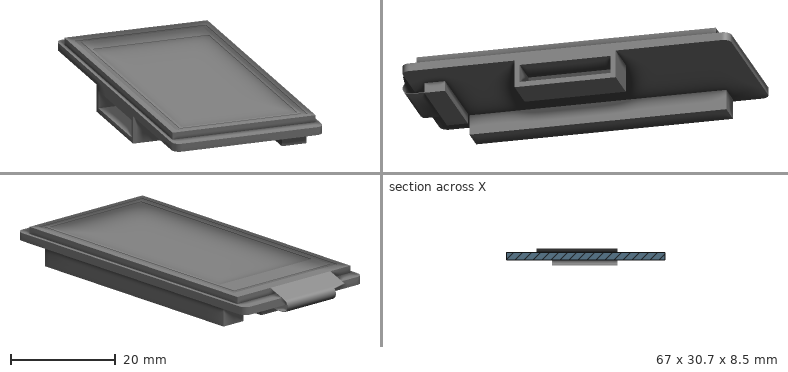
import cadquery as cq
import math

BOARD_LENGTH = 65.0
BOARD_WIDTH = 30.7
BOARD_THICKNESS = 1.6
BOARD_CORNER_RADIUS = 1.6

DISPLAY_LENGTH = 59.2
DISPLAY_WIDTH = 29.2
DISPLAY_THICKNESS = 1.4
LAYER_STEP = 0.1

WINDOW_MARGIN = 1.2
WINDOW_LEFT_MARGIN = 2.4
FILM_MARGIN = 2.2
FILM_RIGHT_MARGIN = 2.0
FILM_LEFT_MARGIN = 3.4
ACTIVE_LENGTH = 48.55
ACTIVE_WIDTH = 23.7
ACTIVE_RIGHT_MARGIN = 2.6

HEADER_PITCH = 2.54
HEADER_PINS = 20
HEADER_LENGTH = HEADER_PINS * HEADER_PITCH
HEADER_WIDTH = 2 * HEADER_PITCH
HEADER_HEIGHT = 4.0
HEADER_EDGE_GAP = 1.0

SOCKET_LENGTH = 20.0
SOCKET_DEPTH = 7.6
SOCKET_HEIGHT = 5.5
SOCKET_WALL = 1.0

FLEX_CONNECTOR_LENGTH = 4.1
FLEX_CONNECTOR_WIDTH = 17.1
FLEX_CONNECTOR_HEIGHT = 2.0

FLEX_OVERHANG = 2.0
FLEX_THICKNESS = 0.1
FLEX_BEND_RADIUS = 1.3
FLEX_BOTTOM_Z = -FLEX_CONNECTOR_HEIGHT / 2
FLEX_WIDE_WIDTH = 15.5
FLEX_NARROW_WIDTH = 12.5
FLEX_TAPER_RUN = 0.4
FLEX_CENTRE_Y = -0.15

BOARD_LEFT = -BOARD_LENGTH / 2
DISPLAY_LEFT = -DISPLAY_LENGTH / 2
DISPLAY_RIGHT = DISPLAY_LENGTH / 2
DISPLAY_TOP = BOARD_THICKNESS + DISPLAY_THICKNESS


def block(x_min, x_max, y_min, y_max, z_min, z_max):
    """Axis-aligned block between the given limits."""
    size = (x_max - x_min, y_max - y_min, z_max - z_min)
    return cq.Workplane("XY").box(*size, centered=False).translate((x_min, y_min, z_min))


def make_board():
    board = cq.Workplane("XY").box(BOARD_LENGTH, BOARD_WIDTH, BOARD_THICKNESS, centered=(True, True, False))
    return board.edges("|Z").fillet(BOARD_CORNER_RADIUS)


def display_layer(x_min, x_max, width, z_min):
    """Block one step high, centred on Y, in the face of the display."""
    return block(x_min, x_max, -width / 2, width / 2, z_min, z_min + LAYER_STEP)


def make_display():
    """Glass with a recessed window, a raised film inside it and a recessed active area."""
    glass = block(
        DISPLAY_LEFT, DISPLAY_RIGHT,
        -DISPLAY_WIDTH / 2, DISPLAY_WIDTH / 2,
        BOARD_THICKNESS, DISPLAY_TOP,
    )
    step_z = DISPLAY_TOP - LAYER_STEP
    window = display_layer(
        DISPLAY_LEFT + WINDOW_LEFT_MARGIN, DISPLAY_RIGHT - WINDOW_MARGIN,
        DISPLAY_WIDTH - 2 * WINDOW_MARGIN, step_z,
    )
    film = display_layer(
        DISPLAY_LEFT + FILM_LEFT_MARGIN, DISPLAY_RIGHT - FILM_RIGHT_MARGIN,
        DISPLAY_WIDTH - 2 * FILM_MARGIN, step_z,
    )
    active_right = DISPLAY_RIGHT - ACTIVE_RIGHT_MARGIN
    active_area = display_layer(active_right - ACTIVE_LENGTH, active_right, ACTIVE_WIDTH, step_z)
    return glass.cut(window).union(film).cut(active_area)


def make_header():
    y_max = BOARD_WIDTH / 2 - HEADER_EDGE_GAP
    return block(-HEADER_LENGTH / 2, HEADER_LENGTH / 2, y_max - HEADER_WIDTH, y_max, -HEADER_HEIGHT, 0)


def make_socket():
    """Box flush with the board edge, with a blind mouth facing -Y."""
    half_length = SOCKET_LENGTH / 2
    half_mouth = half_length - SOCKET_WALL
    front_y = -BOARD_WIDTH / 2
    back_y = front_y + SOCKET_DEPTH
    body = block(-half_length, half_length, front_y, back_y, -SOCKET_HEIGHT, 0)
    mouth = block(
        -half_mouth, half_mouth,
        front_y, back_y - SOCKET_WALL,
        SOCKET_WALL - SOCKET_HEIGHT, -SOCKET_WALL,
    )
    return body.cut(mouth)


def make_flex_connector():
    return block(
        DISPLAY_LEFT, DISPLAY_LEFT + FLEX_CONNECTOR_LENGTH,
        FLEX_CENTRE_Y - FLEX_CONNECTOR_WIDTH / 2, FLEX_CENTRE_Y + FLEX_CONNECTOR_WIDTH / 2,
        -FLEX_CONNECTOR_HEIGHT, 0,
    )


def make_flex():
    """Thin cable: slopes off the display, folds round a bend and returns flat to the connector."""
    bend_x = BOARD_LEFT - FLEX_OVERHANG + FLEX_BEND_RADIUS
    bend_z = FLEX_BOTTOM_Z + FLEX_BEND_RADIUS

    run = DISPLAY_LEFT - bend_x
    rise = DISPLAY_TOP - bend_z
    reach = math.hypot(run, rise)
    tangent_angle = math.atan2(rise, run) + math.acos(FLEX_BEND_RADIUS / reach)
    slope = tangent_angle - math.pi / 2
    middle_angle = (tangent_angle + 1.5 * math.pi) / 2

    def on_bend(radius, angle):
        return (bend_x + radius * math.cos(angle), bend_z + radius * math.sin(angle))

    inner_radius = FLEX_BEND_RADIUS - FLEX_THICKNESS
    profile = (
        cq.Workplane("XZ")
        .moveTo(DISPLAY_LEFT, DISPLAY_TOP)
        .lineTo(*on_bend(FLEX_BEND_RADIUS, tangent_angle))
        .threePointArc(on_bend(FLEX_BEND_RADIUS, middle_angle), (bend_x, FLEX_BOTTOM_Z))
        .lineTo(DISPLAY_LEFT, FLEX_BOTTOM_Z)
        .lineTo(DISPLAY_LEFT, FLEX_BOTTOM_Z + FLEX_THICKNESS)
        .lineTo(bend_x, FLEX_BOTTOM_Z + FLEX_THICKNESS)
        .threePointArc(on_bend(inner_radius, middle_angle), on_bend(inner_radius, tangent_angle))
        .lineTo(DISPLAY_LEFT, DISPLAY_TOP - FLEX_THICKNESS / math.cos(slope))
        .close()
    )
    y_max = FLEX_CENTRE_Y + FLEX_NARROW_WIDTH / 2
    wide_y = y_max - FLEX_WIDE_WIDTH
    narrow_y = y_max - FLEX_NARROW_WIDTH
    strip = profile.extrude(FLEX_WIDE_WIDTH).translate((0, y_max, 0))

    flex_left = bend_x - FLEX_BEND_RADIUS
    tangent_x = on_bend(FLEX_BEND_RADIUS, tangent_angle)[0]
    lower_trim = block(flex_left, DISPLAY_LEFT, wide_y, narrow_y, FLEX_BOTTOM_Z, bend_z)
    upper_trim = (
        cq.Workplane("XY", origin=(0, 0, bend_z))
        .moveTo(flex_left, wide_y)
        .lineTo(tangent_x, wide_y)
        .lineTo(tangent_x - FLEX_TAPER_RUN, narrow_y)
        .lineTo(flex_left, narrow_y)
        .close()
        .extrude(FLEX_BEND_RADIUS)
    )
    return strip.cut(lower_trim).cut(upper_trim)


result = (
    make_board()
    .union(make_display())
    .union(make_header())
    .union(make_flex_connector())
    .union(make_flex())
    .union(make_socket(), clean=False)
)